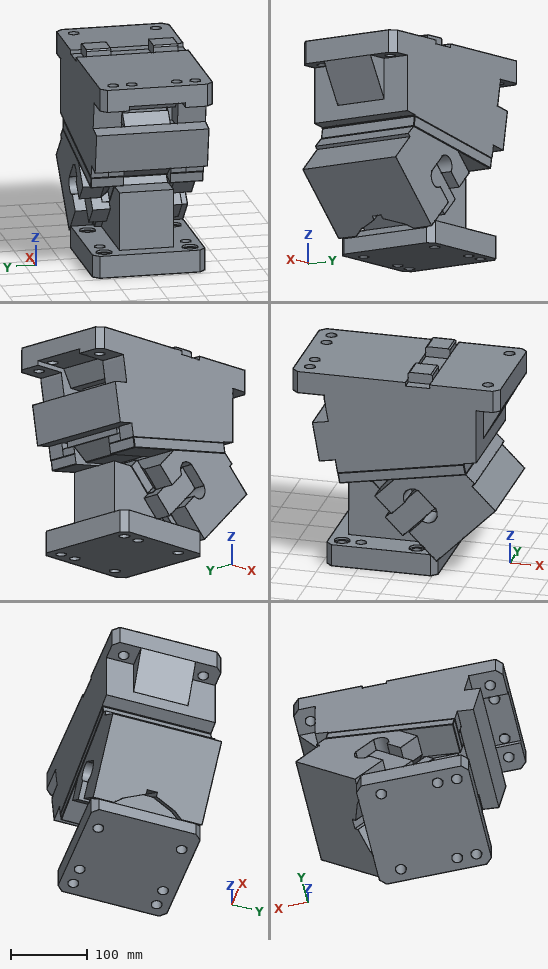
import cadquery as cq
import math


width = 150.0
half_width = width / 2
plate_thickness = 30.0
plate_corner = 8.0
bolt_hole_dia = 14.0

base_length = 150.0
base_edge_chamfer = 9.5
base_bolt_x = (-57.0, 44.0)
base_bolt_y = 57.5
base_dowel_x = -31.5
counterbore_dia = 20.5
counterbore_depth = 3.0
post_left = -54.0
post_top = 108.5
post_half_width = 36.0
rail_angle = 45
rail_start_x = -21.5
rail_peak = 120.7
rail_half_width = 35.3
rail_shoulder = 15.7
rail_height = 28.0
rail_crown_half_width = 7.0
wing_start = 43.0
wing_half_width = 45.5
wing_shoulder = 7.8
rail_length = (post_top - plate_thickness) * math.sqrt(2)
clip_start = 43.7
clip_width = 33.5
clip_low = -10.5
clip_high = 57.0
clip_half_span = 59.5

slide_low = 7.0
slide_start = 11.8
slide_end = 129.5
slide_high = 119.3
slide_step_end = 85.0
slide_step_high = 124.5
groove_mouth_half_width = 46.5
oil_groove_width = 2 * rail_crown_half_width
oil_groove_top = 34.0
slot_end_gap = 1.0
slot_end_radius = 13.2
slot_end_offset = 13.7

wear_tilt = 10
wear_slope = math.tan(math.radians(wear_tilt))
wear_corner_x = -56.0
wear_corner_z = 118.0
wear_length = 173.0
wear_thickness = 14.5
wear_chamfer = 0.8
tongue_width = 103.5
tongue_top = 24.5
upper_tongue_width = 89.5
upper_tongue_setback = 2.8
nose_relief_width = 62.7
nose_ramp_length = 19.5
nose_ramp_low = 4.2
nose_underside = 3.0

top_plate_length = 280.0
top_plate_left = -121.0
top_plate_right = top_plate_left + top_plate_length
top_plate_top = 270.0
top_plate_bottom = top_plate_top - plate_thickness
body_right = 128.5
sole_step = 1.0
flank_top = 236.0
hook_low = 32.8
hook_height = 54.3
hook_reach = 21.8
hook_top = hook_low + hook_height
web_width = 75.0
rib_drop = 54.0
hole_inset = 20.0
outer_hole_y = 55.0
inner_hole_y = 30.0
key_left = 33.0
key_width = 32.5
key_depth = 5.0
key_chamfer = 2.0
key_top = 279.0
key_y = 44.8
pocket_ceiling = 246.0
pocket_lip = 222.3
pocket_slope_start = -72.8
pocket_slope_angle = 60
pocket_back = -39.2
pocket_floor = 198.8
stop_front = -46.2
stop_width = 61.0
stop_chamfer = 2.2
stop_ramp_top = 214.5


def prism(points, y_min, y_max):
    """Extrude an XZ outline from y_min to y_max."""
    outline = cq.Workplane("XZ", origin=(0, y_max, 0)).polyline(points).close()
    return outline.extrude(y_max - y_min)


def centred_prism(points, full_width):
    return prism(points, -full_width / 2, full_width / 2)


def rail_point(s, t):
    """XZ point s down the 45 degree rail and t square to it, from the top of the post."""
    return rail_start_x + (s + t) / math.sqrt(2), post_top + (t - s) / math.sqrt(2)


def wear_point(u, v):
    """XZ point u along the tilted wear plate and v square to it, from its low corner."""
    angle = math.radians(wear_tilt)
    x = wear_corner_x + u * math.cos(angle) - v * math.sin(angle)
    z = wear_corner_z + u * math.sin(angle) + v * math.cos(angle)
    return x, z


def rail_box(s_range, t_range):
    (s0, s1), (t0, t1) = s_range, t_range
    return [rail_point(s0, t0), rail_point(s1, t0), rail_point(s1, t1), rail_point(s0, t1)]


def wear_box(u_range, v_range):
    (u0, u1), (v0, v1) = u_range, v_range
    return [wear_point(u0, v0), wear_point(u1, v0), wear_point(u1, v1), wear_point(u0, v1)]


def rail_sweep(section, s_start, s_end):
    """Run a half section of (y, t) points, mirrored about Y = 0, along the rail."""
    x, z = rail_point(s_start, 0)
    across = cq.Plane(origin=(x, 0, z), xDir=(0, 1, 0), normal=(1, 0, -1))
    mirrored = [(-y, t) for y, t in reversed(section)]
    return cq.Workplane(across).polyline(section + mirrored).close().extrude(s_end - s_start)


def drill(body, places, z_top, depth, diameter):
    tools = cq.Workplane("XY", origin=(0, 0, z_top)).pushPoints(places).circle(diameter / 2).extrude(-depth)
    return body.cut(tools)


def make_base():
    plate = (
        cq.Workplane("XY")
        .box(base_length, width, plate_thickness, centered=(True, True, False))
        .edges("|Z").chamfer(plate_corner)
        .faces(">Z").edges(">X").chamfer(base_edge_chamfer)
    )
    bolts = [(x, y) for x in base_bolt_x for y in (-base_bolt_y, base_bolt_y)]
    dowels = [(base_dowel_x, y) for y in (-base_bolt_y, base_bolt_y)]
    plate = drill(plate, bolts + dowels, plate_thickness, plate_thickness, bolt_hole_dia)
    plate = drill(plate, bolts, plate_thickness, counterbore_depth, counterbore_dia)

    post = centred_prism(
        [(post_left, plate_thickness), rail_point(rail_length, 0), rail_point(0, 0), (post_left, post_top)],
        2 * post_half_width,
    )

    rail_section = [
        (rail_half_width, 0),
        (rail_half_width, rail_shoulder),
        (rail_crown_half_width, rail_height),
    ]
    rail = rail_sweep(rail_section, 0, rail_length)
    above_rail = cq.Workplane("XY", origin=(0, 0, rail_peak)).box(
        base_length, width, rail_height, centered=(True, True, False)
    )
    base = plate.union(post).union(rail.cut(above_rail))

    wing_section = [
        (wing_half_width, 0),
        (wing_half_width, wing_shoulder),
        (rail_half_width, rail_shoulder),
    ]
    base = base.union(rail_sweep(wing_section, wing_start, rail_length))

    clip_outline = rail_box((clip_start, clip_start + clip_width), (clip_low, clip_high))
    base = base.union(prism(clip_outline, post_half_width, clip_half_span))
    return base.union(prism(clip_outline, -clip_half_span, -post_half_width))


def clip_slot(y_min, y_max):
    """Slot for a retaining clip, with a wider round-ended relief at its closed end."""
    slot_high = clip_high + slot_end_gap
    slot = prism(rail_box((clip_start, clip_start + clip_width), (0, slot_high)), y_min, y_max)
    middle = clip_start + clip_width / 2
    relief_t = slot_high - slot_end_radius
    x, z = rail_point(middle, relief_t)
    relief = (
        cq.Workplane("XZ", origin=(x, y_max, z))
        .slot2D(2 * (slot_end_offset + slot_end_radius), 2 * slot_end_radius, -rail_angle)
        .extrude(y_max - y_min)
    )
    return slot.union(relief)


def make_slide():
    start_x, start_z = rail_point(slide_start, slide_low)
    rise = wear_corner_z + wear_slope * (start_x - wear_corner_x) - start_z
    run = rise / (1 - wear_slope)
    body = centred_prism(
        [
            (start_x, start_z),
            rail_point(slide_end, slide_low),
            rail_point(slide_end, slide_high),
            rail_point(slide_step_end, slide_high),
            rail_point(slide_step_end, slide_step_high),
            wear_point(wear_length, 0),
            (start_x + run, start_z + run),
        ],
        width,
    )

    groove_section = [
        (groove_mouth_half_width, slide_low),
        (rail_half_width, rail_shoulder),
        (rail_crown_half_width, rail_height),
    ]
    body = body.cut(rail_sweep(groove_section, 0, slide_end))
    oil_groove = rail_box((0, slide_end), (slide_low, oil_groove_top))
    body = body.cut(centred_prism(oil_groove, oil_groove_width))
    body = body.cut(clip_slot(post_half_width, half_width))
    body = body.cut(clip_slot(-half_width, -post_half_width))

    wear_plate = centred_prism(wear_box((0, wear_length), (0, wear_thickness)), width).edges().chamfer(wear_chamfer)
    tongue = centred_prism(wear_box((0, wear_length), (wear_thickness, tongue_top)), tongue_width)
    upper_tongue = centred_prism(
        wear_box((upper_tongue_setback, wear_length), (tongue_top, hook_low)), upper_tongue_width
    )
    top = wear_plate.union(tongue)
    overhang = (start_x + run - wear_corner_x) / math.cos(math.radians(wear_tilt))
    nose_relief = centred_prism(
        [
            wear_point(0, 0),
            wear_point(overhang, 0),
            wear_point(overhang, nose_underside),
            wear_point(nose_ramp_length, nose_underside),
            wear_point(nose_ramp_length, nose_ramp_low),
            wear_point(0, tongue_top),
        ],
        nose_relief_width,
    )
    top = top.cut(nose_relief).union(upper_tongue)
    return body.union(top)


def make_holder():
    plate = (
        cq.Workplane("XY", origin=(top_plate_left, 0, top_plate_bottom))
        .box(top_plate_length, width, plate_thickness, centered=(False, True, False))
        .edges("|Z").chamfer(plate_corner)
    )

    flank_v = (flank_top - wear_corner_z) / math.cos(math.radians(wear_tilt))
    flank_point = wear_point(0, flank_v)
    step_x, step_z = wear_point(wear_length, wear_thickness + sole_step)
    body = centred_prism(
        [
            wear_point(0, wear_thickness),
            wear_point(wear_length, wear_thickness),
            (step_x, step_z),
            (body_right, step_z + wear_slope * (body_right - step_x)),
            (body_right, top_plate_bottom),
            (flank_point[0], top_plate_bottom),
            flank_point,
            wear_point(0, hook_top),
            wear_point(-hook_reach, hook_top),
            wear_point(-hook_reach, hook_low),
            wear_point(0, hook_low),
        ],
        width,
    )
    rib = centred_prism(
        [
            (body_right, top_plate_bottom),
            (top_plate_right, top_plate_bottom),
            (body_right, top_plate_bottom - rib_drop),
        ],
        web_width,
    )
    holder = plate.union(body).union(rib)

    holder = holder.cut(centred_prism(wear_box((0, wear_length), (wear_thickness, hook_low)), tongue_width))
    holder = cut_front_pocket(holder)
    return add_keys(drill_top_plate(holder))


def drill_top_plate(holder):
    """Two pairs of holes at the front end of the top plate and one pair at the rear."""
    front_x = top_plate_left + hole_inset
    rear_x = top_plate_right - hole_inset
    holes = [
        (x, side * y)
        for x, y in ((front_x, outer_hole_y), (front_x, inner_hole_y), (rear_x, outer_hole_y))
        for side in (-1, 1)
    ]
    return drill(holder, holes, top_plate_top, plate_thickness, bolt_hole_dia)


def add_keys(holder):
    """Shallow slot across the top plate with two square keys standing in it."""
    slot_floor = top_plate_top - key_depth
    slot = cq.Workplane("XY", origin=(key_left, 0, slot_floor)).box(
        key_width, width, key_depth, centered=(False, True, False)
    )
    holder = holder.cut(slot)
    for y in (-key_y, key_y):
        key = (
            cq.Workplane("XY", origin=(key_left, y, slot_floor))
            .box(key_width, key_width, key_top - slot_floor, centered=(False, True, False))
            .faces(">Z").edges("|Y").chamfer(key_chamfer)
        )
        holder = holder.union(key)
    return holder


def cut_front_pocket(holder):
    """Pocket behind the hook, with a sloping lip above and a 45 degree ramped stop at its back."""
    hook_root_x, hook_root_z = wear_point(0, hook_top)
    lip_x = pocket_slope_start + (pocket_ceiling - pocket_lip) / math.tan(math.radians(pocket_slope_angle))
    pocket = centred_prism(
        [
            (top_plate_left, pocket_ceiling),
            (pocket_slope_start, pocket_ceiling),
            (lip_x, pocket_lip),
            (pocket_back, pocket_lip),
            (pocket_back, pocket_floor),
            (hook_root_x, pocket_floor),
            (hook_root_x, hook_root_z),
            (top_plate_left, hook_root_z),
        ],
        web_width,
    )
    stop = (
        cq.Workplane("XY", origin=(stop_front, 0, pocket_floor))
        .box(pocket_back - stop_front, stop_width, pocket_lip - pocket_floor, centered=(False, True, False))
        .edges("|Z and <X").chamfer(stop_chamfer)
    )
    ramp_rise = stop_ramp_top - pocket_floor
    ramp = centred_prism(
        [
            (stop_front - ramp_rise, pocket_floor),
            (pocket_back, pocket_floor),
            (pocket_back, stop_ramp_top),
            (stop_front, stop_ramp_top),
        ],
        stop_width,
    )
    return holder.cut(pocket.cut(stop).cut(ramp))


base = make_base().solids().val()
slide = make_slide().solids().val()
holder = make_holder().solids().val()

result = cq.Compound.makeCompound([base, slide, holder])